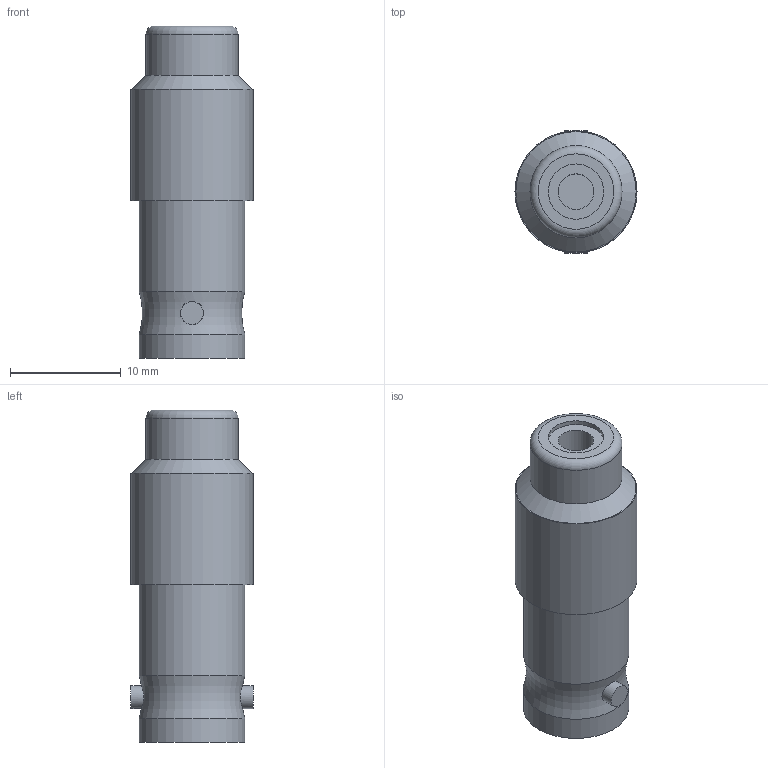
import cadquery as cq

total_height = 29.97
groove_bottom = 2.12
groove_top = 6.0
sleeve_bottom = 14.2
sleeve_top = 24.24

barrel_radius = 4.765
groove_radius = 4.48
sleeve_radius = 5.51
rim_ledge = 0.08
nose_radius = 4.16
nose_fillet = 0.75

recess_radius = 2.5
recess_depth = 0.4
bore_radius = 1.6
bore_depth = 5.0

pin_radius = 1.04
pin_span = 11.05

groove_middle = (groove_bottom + groove_top) / 2

cone_base_radius = sleeve_radius - rim_ledge
cone_top = sleeve_top + cone_base_radius - nose_radius


def turned_body():
    """Half profile in the XZ plane, revolved about the Z axis."""
    profile = (
        cq.Workplane("XZ")
        .moveTo(0, 0)
        .lineTo(barrel_radius, 0)
        .lineTo(barrel_radius, groove_bottom)
        .threePointArc((groove_radius, groove_middle), (barrel_radius, groove_top))
        .lineTo(barrel_radius, sleeve_bottom)
        .lineTo(sleeve_radius, sleeve_bottom)
        .lineTo(sleeve_radius, sleeve_top)
        .lineTo(cone_base_radius, sleeve_top)
        .lineTo(nose_radius, cone_top)
        .lineTo(nose_radius, total_height)
        .lineTo(0, total_height)
        .close()
    )
    body = profile.revolve(360, (0, 0, 0), (0, 1, 0))
    return body.faces(">Z").edges().fillet(nose_fillet)


def bayonet_pins():
    """One cross pin along Y whose two ends stand out of the groove."""
    return (
        cq.Workplane("XZ")
        .center(0, groove_middle)
        .circle(pin_radius)
        .extrude(pin_span / 2, both=True)
    )


def top_socket():
    """Recess and bore to be cut down from the top face."""
    top_plane = cq.Workplane("XY").workplane(offset=total_height)
    recess = top_plane.circle(recess_radius).extrude(-recess_depth)
    bore = top_plane.circle(bore_radius).extrude(-bore_depth)
    return recess.union(bore)


result = turned_body().union(bayonet_pins()).cut(top_socket())